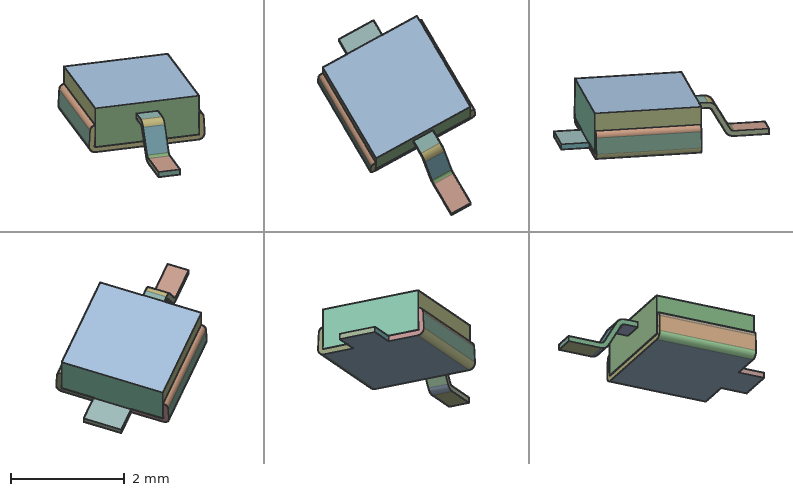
import cadquery as cq
import math

total_length = 3.74
sheet = 0.1

body_side = 1.905
body_top = 0.85
body_left = 0.485

cradle_margin = 0.01
cradle_width = 2.12
wall_lean = math.radians(3)
cradle_bend_inner = 0.02
wall_flat = 0.3

tab_width = 0.705

lead_width = 0.395
lead_top = 0.655
lead_shoulder = 0.258
lead_slope = math.radians(60)
lead_bend_inner = 0.075

body_right = body_left + body_side
cradle_left = body_left + cradle_margin
cradle_length = body_side - 2 * cradle_margin


def polar(center, radius, angle):
    """Point at an angle on a circle in the current sketch plane."""
    return (
        center[0] + radius * math.cos(angle),
        center[1] + radius * math.sin(angle),
    )


def make_body():
    return cq.Workplane("XY").box(
        body_side, body_side, body_top - sheet, centered=(False, True, False)
    ).translate((body_left, 0, sheet))


def make_base_and_tab(plate_half_width):
    base = cq.Workplane("XY").box(
        cradle_length, 2 * plate_half_width, sheet, centered=(False, True, False)
    ).translate((cradle_left, 0, 0))
    tab = cq.Workplane("XY").box(
        cradle_left, tab_width, sheet, centered=(False, True, False)
    )
    return base.union(tab)


def make_wall(bend_center, outer_radius):
    """Side wall on +Y: lower bend, leaning flat and quarter-round tip."""
    down = math.radians(-90)
    mid_bend = (down + wall_lean) / 2
    up = wall_lean + math.radians(90)
    mid_tip = wall_lean + math.radians(45)

    outer_low = polar(bend_center, outer_radius, wall_lean)
    inner_low = polar(bend_center, cradle_bend_inner, wall_lean)
    outer_high = polar(outer_low, wall_flat, up)
    inner_high = polar(inner_low, wall_flat, up)

    return (
        cq.Workplane("YZ", origin=(cradle_left, 0, 0))
        .moveTo(*polar(bend_center, outer_radius, down))
        .threePointArc(polar(bend_center, outer_radius, mid_bend), outer_low)
        .lineTo(*outer_high)
        .threePointArc(polar(inner_high, sheet, mid_tip), polar(inner_high, sheet, up))
        .lineTo(*inner_low)
        .threePointArc(
            polar(bend_center, cradle_bend_inner, mid_bend),
            polar(bend_center, cradle_bend_inner, down),
        )
        .close()
        .extrude(cradle_length)
    )


def make_cradle():
    outer_radius = cradle_bend_inner + sheet
    bend_center = (cradle_width / 2 - outer_radius, outer_radius)
    wall = make_wall(bend_center, outer_radius)
    return make_base_and_tab(bend_center[0]).union(wall).union(wall.mirror("XZ"))


def make_lead():
    outer = lead_bend_inner + sheet
    inner = lead_bend_inner
    center_drop = lead_top - 2 * outer
    bend_reach = (outer + inner) * math.sin(lead_slope)
    flat_drop = center_drop + (outer + inner) * math.cos(lead_slope)
    upper = (body_right + lead_shoulder, lead_top - outer)
    lower = (upper[0] + bend_reach + flat_drop / math.tan(lead_slope), outer)

    top = math.radians(90)
    upper_end = top - lead_slope
    upper_mid = top - lead_slope / 2
    bottom = -top
    lower_end = bottom - lead_slope
    lower_mid = bottom - lead_slope / 2

    return (
        cq.Workplane("XZ")
        .moveTo(body_right, lead_top)
        .lineTo(*polar(upper, outer, top))
        .threePointArc(polar(upper, outer, upper_mid), polar(upper, outer, upper_end))
        .lineTo(*polar(lower, inner, lower_end))
        .threePointArc(polar(lower, inner, lower_mid), polar(lower, inner, bottom))
        .lineTo(total_length, sheet)
        .lineTo(total_length, 0)
        .lineTo(*polar(lower, outer, bottom))
        .threePointArc(polar(lower, outer, lower_mid), polar(lower, outer, lower_end))
        .lineTo(*polar(upper, inner, upper_end))
        .threePointArc(polar(upper, inner, upper_mid), polar(upper, inner, top))
        .lineTo(body_right, lead_top - sheet)
        .close()
        .extrude(lead_width / 2, both=True)
    )


result = make_body().union(make_cradle()).union(make_lead())